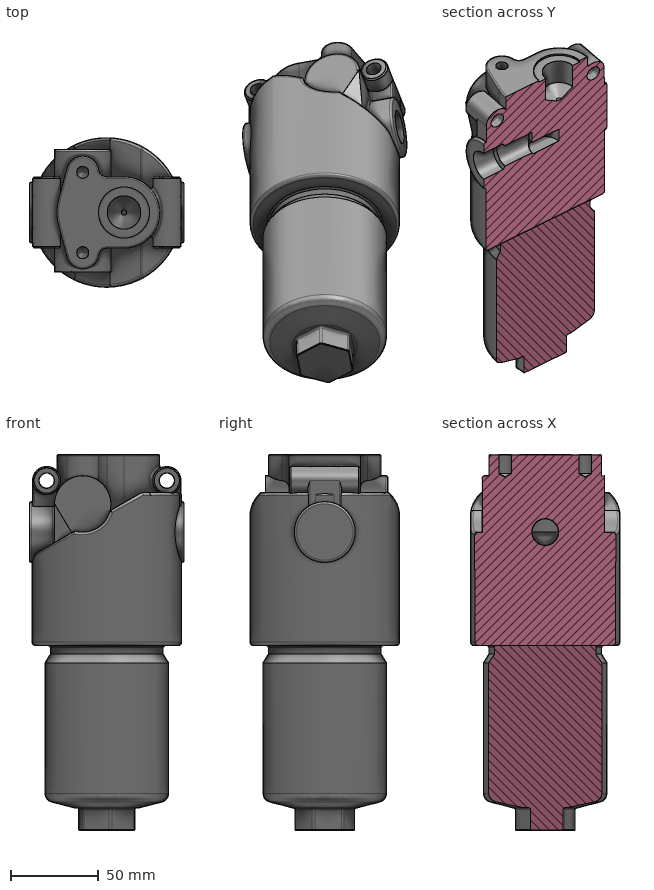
import cadquery as cq
import math

EDGE_TOLERANCE = 0.02
JOINT_FILLET = 1.0

TOP_Z = 213.5
SHOULDER_Z = 192.0
PORT_Z = 169.5
CROSS_Z = 185.5
LUG_Z = 198.8
HEAD_BOTTOM_Z = 105.0
NECK_BOTTOM_Z = 100.1
BOWL_SHOULDER_Z = 95.2
BOWL_CONE_TOP_Z = 17.0
BOWL_CONE_BOTTOM_Z = 12.8

HEAD_D = 85.0
HEAD_BOTTOM_FILLET = 2.0
SLOPE_ANGLE = 30.0
SLOPE_START_X = 19.6
RIM_FILLET = 1.5

NOSE_X = 9.8
NOSE_R = 20.3
EAR_X = -13.7
EAR_Y = 22.8
EAR_R = 9.2
FLANK_ANGLE = 15.0
FLANK_END_Y = 7.3
FLANGE_EDGE_FILLET = 0.9

SEAL_RECESS_D = 29.0
SEAL_RECESS_DEPTH = 1.0
TOP_HOLE_D = 19.0
TOP_HOLE_DEPTH = 17.0
TOP_HOLE_TIP_D = 3.0
BOLT_HOLE_D = 6.8
BOLT_HOLE_DEPTH = 10.7
DRILL_POINT_ANGLE = 118.0

CROSS_X = -13.7
CROSS_D = 32.0
CROSS_FRONT_Y = -33.7
CROSS_BACK_Y = 35.9
CROSS_BACK_FILLET = 1.3
BLOCK_MARGIN = 4.3
CORNER_CUT_X = 9.8
CORNER_CUT_X_Z = 169.0
CORNER_CUT_Y = 7.5
CORNER_CUT_Y_Z = 163.3

LUG_X = 34.2
LUG_D = 16.0
LUG_HOLE_D = 8.5
LUG_LENGTH = 40.1
LUG_CHAMFER = 0.9
LUG_WEB_WIDTH = 18.8
LUG_WEB_INNER_X = 23.5
LUG_WEB_FILLET = 1.0

PORT_FACE_X = 44.0
BOSS_D = 34.5
BOSS_FILLET = 1.3
PORT_D = 15.0
PORT_MOUTH_D = 19.0
PORT_MOUTH_DEPTH = 13.9
POCKET_D = 19.0
POCKET_DEPTH = 8.5

NECK_D = 64.0
NECK_TOP_D = 66.0
BOWL_D = 70.2
BOWL_FILLET = 5.1
BOWL_CONE_BOTTOM_D = 37.1
HEX_FLATS = 30.0
HEX_TURN = 37.5
HEX_EDGE_FILLET = 1.7
HEX_TOP_FILLET = 1.0
HEX_BOTTOM_CHAMFER = 0.5

HEAD_R = HEAD_D / 2
CROSS_R = CROSS_D / 2
BLOCK_FACE_X = CROSS_X - CROSS_R
SLOPE_TAN = math.tan(math.radians(SLOPE_ANGLE))


def shoulder_z(x):
    """Height of the head's shoulder at x: flat at +X, sloping down towards -X."""
    return SHOULDER_Z - max(0.0, SLOPE_START_X - x) * SLOPE_TAN


def cylinder_along_y(x, z, diameter, y_start, y_end):
    plane = cq.Plane(origin=(x, y_start, z), xDir=(1, 0, 0), normal=(0, 1, 0))
    return cq.Workplane(plane).circle(diameter / 2).extrude(y_end - y_start)


def drilled_hole(x, y, top_z, diameter, depth, tip_d=0.0):
    """Cutter for a vertical hole with a drill point that ends at the diameter tip_d."""
    point_height = (diameter - tip_d) / 2 / math.tan(math.radians(DRILL_POINT_ANGLE / 2))
    profile = cq.Workplane("XZ").moveTo(0, 0).lineTo(diameter / 2, 0).lineTo(diameter / 2, -depth)
    profile = profile.lineTo(tip_d / 2, -depth - point_height)
    if tip_d > 0:
        profile = profile.lineTo(0, -depth - point_height)
    hole = profile.close().revolve(360, (0, 0, 0), (0, 1, 0))
    return hole.translate((x, y, top_z))


def is_on_rim(edge):
    """True for an edge that bounds the outside of the barrel at its shoulder."""
    ends = (edge.startPoint(), edge.endPoint())
    on_outside = all(abs(math.hypot(end.x, end.y) - HEAD_R) < EDGE_TOLERANCE for end in ends)
    return on_outside and min(end.z for end in ends) > shoulder_z(-HEAD_R) - EDGE_TOLERANCE


def head_barrel():
    """Round barrel with the sloping shoulder, cleared beyond both ends of the cross barrel."""
    barrel = (
        cq.Workplane("XY", origin=(0, 0, HEAD_BOTTOM_Z))
        .circle(HEAD_R)
        .extrude(TOP_Z - HEAD_BOTTOM_Z)
        .faces("<Z").edges().fillet(HEAD_BOTTOM_FILLET)
    )
    above_shoulder = (
        cq.Workplane("XZ")
        .moveTo(-HEAD_D, shoulder_z(-HEAD_D))
        .lineTo(SLOPE_START_X, SHOULDER_Z)
        .lineTo(HEAD_D, SHOULDER_Z)
        .lineTo(HEAD_D, TOP_Z)
        .lineTo(-HEAD_D, TOP_Z)
        .close()
        .extrude(HEAD_R, both=True)
    )
    barrel = barrel.cut(above_shoulder)
    barrel = barrel.cut(cylinder_along_y(CROSS_X, CROSS_Z, CROSS_D, -HEAD_R, CROSS_FRONT_Y))
    barrel = barrel.cut(cylinder_along_y(CROSS_X, CROSS_Z, CROSS_D, CROSS_BACK_Y, HEAD_R))
    return barrel.edges().filter(is_on_rim).fillet(RIM_FILLET)


def flange():
    """Top flange, carried down to the shoulder of the barrel."""
    flank = math.radians(FLANK_ANGLE)
    ear_flank_x = EAR_X - EAR_R * math.cos(flank)
    ear_flank_y = EAR_Y + EAR_R * math.sin(flank)
    flank_end_x = ear_flank_x - (ear_flank_y - FLANK_END_Y) * math.tan(flank)
    back_x = flank_end_x - FLANK_END_Y * math.tan(flank / 2)

    ear_rise = EAR_Y - NOSE_R
    notch_r = (EAR_X**2 + ear_rise**2 - EAR_R**2) / (2 * (EAR_R + ear_rise))
    notch_y = NOSE_R + notch_r
    share = EAR_R / (EAR_R + notch_r)
    ear_end = (EAR_X - EAR_X * share, EAR_Y + (notch_y - EAR_Y) * share)
    notch_turn = math.radians(225)
    notch_mid = (notch_r * math.cos(notch_turn), notch_y + notch_r * math.sin(notch_turn))
    ear_tip = (EAR_X, EAR_Y + EAR_R)

    def mirrored(point):
        return (point[0], -point[1])

    outline = (
        cq.Workplane("XY", origin=(0, 0, HEAD_BOTTOM_Z + HEAD_R))
        .moveTo(NOSE_X, -NOSE_R)
        .threePointArc((NOSE_X + NOSE_R, 0), (NOSE_X, NOSE_R))
        .lineTo(0, NOSE_R)
        .threePointArc(notch_mid, ear_end)
        .threePointArc(ear_tip, (ear_flank_x, ear_flank_y))
        .lineTo(flank_end_x, FLANK_END_Y)
        .threePointArc((back_x, 0), (flank_end_x, -FLANK_END_Y))
        .lineTo(ear_flank_x, -ear_flank_y)
        .threePointArc(mirrored(ear_tip), mirrored(ear_end))
        .threePointArc(mirrored(notch_mid), (0, -NOSE_R))
        .close()
    )
    body = outline.extrude(TOP_Z - HEAD_BOTTOM_Z - HEAD_R)
    return body.faces(">Z").edges().fillet(FLANGE_EDGE_FILLET)


def corner_cut(end_y):
    """Wedge that slopes the lower corner of the block off, below the end of the cross barrel."""
    inward = -math.copysign(1, end_y)
    corner = cq.Vector(BLOCK_FACE_X, end_y, CROSS_Z)
    along_x = cq.Vector(CORNER_CUT_X, 0, CORNER_CUT_X_Z - CROSS_Z)
    along_y = cq.Vector(0, inward * CORNER_CUT_Y, CORNER_CUT_Y_Z - CROSS_Z)
    normal = along_x.cross(along_y) * -inward
    plane = cq.Plane(origin=corner, xDir=along_x, normal=normal)
    return cq.Workplane(plane).rect(4 * CROSS_D, 4 * CROSS_D).extrude(CROSS_D)


def cross_barrel():
    """Barrel along Y, with a block that fills the space from it down into the head barrel."""
    barrel = cylinder_along_y(CROSS_X, CROSS_Z, CROSS_D, CROSS_FRONT_Y, CROSS_BACK_Y)
    barrel = barrel.faces(">Y").edges().fillet(CROSS_BACK_FILLET)
    block_bottom_z = PORT_Z - BOSS_D / 2 - BLOCK_MARGIN
    block = cq.Workplane("XY").box(
        CROSS_R, CROSS_BACK_Y - CROSS_FRONT_Y, CROSS_Z - block_bottom_z, centered=False
    ).translate((BLOCK_FACE_X, CROSS_FRONT_Y, block_bottom_z))
    body = barrel.union(block)
    for end_y in (CROSS_FRONT_Y, CROSS_BACK_Y):
        body = body.cut(corner_cut(end_y))
    return body


def lug_tube(side):
    tube = cylinder_along_y(side * LUG_X, LUG_Z, LUG_D, -LUG_LENGTH / 2, LUG_LENGTH / 2)
    return tube.faces("<Y or >Y").edges().chamfer(LUG_CHAMFER)


def lug_web(side):
    """Upright web between a port boss and the mounting lug above it."""
    outer_x = LUG_X + LUG_D / 2
    web = (
        cq.Workplane("XY", origin=(side * (outer_x + LUG_WEB_INNER_X) / 2, 0, PORT_Z))
        .rect(outer_x - LUG_WEB_INNER_X, LUG_WEB_WIDTH)
        .extrude(LUG_Z - PORT_Z)
    )
    return web.edges("|Z").edges(">X" if side > 0 else "<X").fillet(LUG_WEB_FILLET)


def port_boss(side):
    boss = cq.Workplane("YZ", origin=(0, 0, PORT_Z)).circle(BOSS_D / 2).extrude(side * PORT_FACE_X)
    return boss.faces(">X" if side > 0 else "<X").edges().fillet(BOSS_FILLET)


def is_flange_joint(edge):
    """True for an edge where a lug tube meets the side of the flange."""
    box = edge.BoundingBox()
    return box.zmin > LUG_Z - LUG_D / 2 and box.zmax < LUG_Z + LUG_D / 2 and box.ylen > LUG_D


def flange_with_lugs():
    body = flange().union(lug_tube(-1)).union(lug_tube(1))
    return body.edges().filter(is_flange_joint).fillet(JOINT_FILLET)


def is_block_joint(edge):
    """True for an edge where the -X boss or its web meets the block or the cross barrel."""
    box = edge.BoundingBox()
    beside_block = box.xmin > BLOCK_FACE_X - EDGE_TOLERANCE and box.xmax < -LUG_WEB_INNER_X
    return beside_block and max(-box.ymin, box.ymax) < BOSS_D / 2 + EDGE_TOLERANCE


def port_block():
    """Cross barrel and block joined to the -X boss and web."""
    body = cross_barrel().union(port_boss(-1)).union(lug_web(-1))
    return body.edges().filter(is_block_joint).fillet(JOINT_FILLET)


def port_hole():
    """Cutter for the -X port: its bore opens into a round pocket below the port axis."""
    bore = cq.Workplane("YZ", origin=(0, 0, PORT_Z)).circle(PORT_D / 2).extrude(-PORT_FACE_X)
    mouth = drilled_hole(0, 0, 0, PORT_MOUTH_D, PORT_MOUTH_DEPTH, PORT_D)
    mouth = mouth.rotate((0, 0, 0), (0, 1, 0), -90).translate((-PORT_FACE_X, 0, PORT_Z))
    bore_end = cq.Workplane("XY", origin=(0, 0, PORT_Z)).circle(POCKET_D / 2).extrude(PORT_D)
    pocket = cq.Workplane("XY", origin=(0, 0, PORT_Z)).circle(POCKET_D / 2).extrude(-POCKET_DEPTH)
    return bore.union(mouth).cut(bore_end).union(pocket)


def make_head():
    head = head_barrel().union(flange_with_lugs()).union(port_block())
    head = head.union(lug_web(1)).union(port_boss(1))
    head = head.cut(port_hole())
    for side in (-1, 1):
        head = head.cut(
            cylinder_along_y(side * LUG_X, LUG_Z, LUG_HOLE_D, -LUG_LENGTH / 2, LUG_LENGTH / 2))
        head = head.cut(drilled_hole(EAR_X, side * EAR_Y, TOP_Z, BOLT_HOLE_D, BOLT_HOLE_DEPTH))

    seal_recess = (
        cq.Workplane("XY", origin=(NOSE_X, 0, TOP_Z))
        .circle(SEAL_RECESS_D / 2)
        .extrude(-SEAL_RECESS_DEPTH)
    )
    top_hole = drilled_hole(NOSE_X, 0, TOP_Z, TOP_HOLE_D, TOP_HOLE_DEPTH, TOP_HOLE_TIP_D)
    return head.cut(seal_recess).cut(top_hole)


def is_on_hexagon(edge):
    """True for an edge at the top of the hexagon, inside the rim of the bowl's cone."""
    start = edge.startPoint()
    return math.hypot(start.x, start.y) < BOWL_CONE_BOTTOM_D / 2 - EDGE_TOLERANCE


def make_bowl():
    """Round bowl that hangs from the underside of the head, with a hexagon at its foot."""
    bowl = (
        cq.Workplane("XZ")
        .moveTo(0, HEAD_BOTTOM_Z)
        .lineTo(NECK_TOP_D / 2, HEAD_BOTTOM_Z)
        .lineTo(NECK_D / 2, HEAD_BOTTOM_Z - (NECK_TOP_D - NECK_D) / 2)
        .lineTo(NECK_D / 2, NECK_BOTTOM_Z)
        .lineTo(BOWL_D / 2, BOWL_SHOULDER_Z)
        .lineTo(BOWL_D / 2, BOWL_CONE_TOP_Z)
        .lineTo(BOWL_CONE_BOTTOM_D / 2, BOWL_CONE_BOTTOM_Z)
        .lineTo(0, BOWL_CONE_BOTTOM_Z)
        .close()
        .revolve(360, (0, 0, 0), (0, 1, 0))
    )
    bowl = bowl.edges(cq.selectors.BoxSelector(
        (-BOWL_D, -BOWL_D, BOWL_CONE_TOP_Z - 0.2), (BOWL_D, BOWL_D, BOWL_CONE_TOP_Z + 0.2)
    )).fillet(BOWL_FILLET)
    hexagon = (
        cq.Workplane("XY")
        .polygon(6, HEX_FLATS / math.cos(math.pi / 6))
        .extrude(BOWL_CONE_TOP_Z)
        .rotate((0, 0, 0), (0, 0, 1), HEX_TURN)
        .edges("|Z").fillet(HEX_EDGE_FILLET)
        .faces("<Z").edges().chamfer(HEX_BOTTOM_CHAMFER)
    )
    foot_selector = cq.selectors.BoxSelector(
        (-HEX_FLATS, -HEX_FLATS, BOWL_CONE_BOTTOM_Z - EDGE_TOLERANCE),
        (HEX_FLATS, HEX_FLATS, BOWL_CONE_BOTTOM_Z + EDGE_TOLERANCE),
    )
    return bowl.union(hexagon).edges(foot_selector).filter(is_on_hexagon).fillet(HEX_TOP_FILLET)


head = make_head()
bowl = make_bowl()
result = cq.Compound.makeCompound([head.val(), bowl.val()])